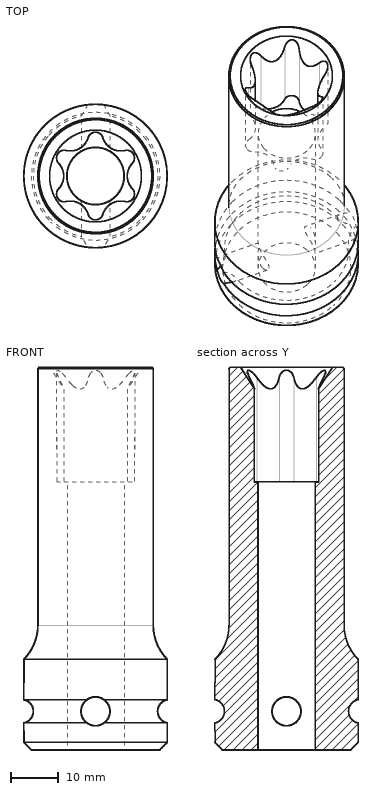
import cadquery as cq
import math

length = 80.0
base_radius = 30.0 / 2
shank_radius = 24.2 / 2
base_chamfer_height = 1.6
base_chamfer_width = 1.6
rim_chamfer = 0.3

shoulder_bottom = 19.0
shoulder_top = 26.1

groove_height = 8.1
groove_half_width = 2.4
groove_depth = 2.0
pin_hole_diameter = 6.0

bore_diameter = 11.9
lobe_count = 6
lobe_tip_radius = 18.3 / 2
lobe_root_radius = 6.6
lobe_tip_fillet = 1.6
socket_depth = 24.0
lead_in_radius = 9.6
lead_in_depth = 4.6


def polar(radius, angle):
    return (radius * math.cos(angle), radius * math.sin(angle))


def make_body():
    """Revolve the outer profile about Z."""
    step = base_radius - shank_radius
    rise = shoulder_top - shoulder_bottom
    shoulder_radius = (rise**2 + step**2) / (2 * step)
    half_sweep = math.asin(rise / shoulder_radius) / 2
    shoulder_middle = (
        shank_radius + shoulder_radius * (1 - math.cos(half_sweep)),
        shoulder_top - shoulder_radius * math.sin(half_sweep),
    )
    profile = (
        cq.Workplane("XZ")
        .lineTo(base_radius - base_chamfer_width, 0)
        .lineTo(base_radius, base_chamfer_height)
        .lineTo(base_radius, groove_height - groove_half_width)
        .threePointArc(
            (base_radius - groove_depth, groove_height),
            (base_radius, groove_height + groove_half_width),
        )
        .lineTo(base_radius, shoulder_bottom)
        .threePointArc(shoulder_middle, (shank_radius, shoulder_top))
        .lineTo(shank_radius, length - rim_chamfer)
        .lineTo(shank_radius - rim_chamfer, length)
        .lineTo(0, length)
        .close()
    )
    return profile.revolve(360, (0, 0), (0, 1))


def make_lobed_socket():
    """Extrude the lobe outline, made of tangent tip and root arcs."""
    half_pitch = math.pi / lobe_count
    tip_center = lobe_tip_radius - lobe_tip_fillet
    tip_reach = tip_center * math.cos(half_pitch)
    numerator = lobe_root_radius**2 + tip_center**2 - 2 * lobe_root_radius * tip_reach - lobe_tip_fillet**2
    root_arc = numerator / (2 * (lobe_tip_fillet - lobe_root_radius + tip_reach))
    root_center = lobe_root_radius + root_arc

    tip_x, tip_y = polar(tip_center, half_pitch)
    share = root_arc / (root_arc + lobe_tip_fillet)
    join_x = root_center + share * (tip_x - root_center)
    join_y = share * tip_y
    join_radius = math.hypot(join_x, join_y)
    join_angle = math.atan2(join_y, join_x)

    outline = cq.Workplane("XY", origin=(0, 0, length - socket_depth))
    outline = outline.moveTo(*polar(join_radius, -join_angle))
    for index in range(lobe_count):
        root_angle = 2 * half_pitch * index
        tip_angle = root_angle + half_pitch
        next_root_angle = tip_angle + half_pitch
        outline = outline.threePointArc(
            polar(lobe_root_radius, root_angle), polar(join_radius, root_angle + join_angle)
        ).threePointArc(
            polar(lobe_tip_radius, tip_angle), polar(join_radius, next_root_angle - join_angle)
        )
    return outline.close().extrude(socket_depth)


def make_lead_in():
    """Cone that narrows from the mouth to the lobe roots."""
    return cq.Workplane(
        cq.Solid.makeCone(
            lobe_root_radius, lead_in_radius, lead_in_depth, pnt=cq.Vector(0, 0, length - lead_in_depth)
        )
    )


def make_pin_hole():
    """Cross hole along Y, through both walls."""
    return (
        cq.Workplane("XZ", origin=(0, 0, groove_height))
        .circle(pin_hole_diameter / 2)
        .extrude(base_radius, both=True)
    )


bore = cq.Workplane("XY").circle(bore_diameter / 2).extrude(length)
result = make_body().cut(bore).cut(make_lobed_socket()).cut(make_lead_in()).cut(make_pin_hole())